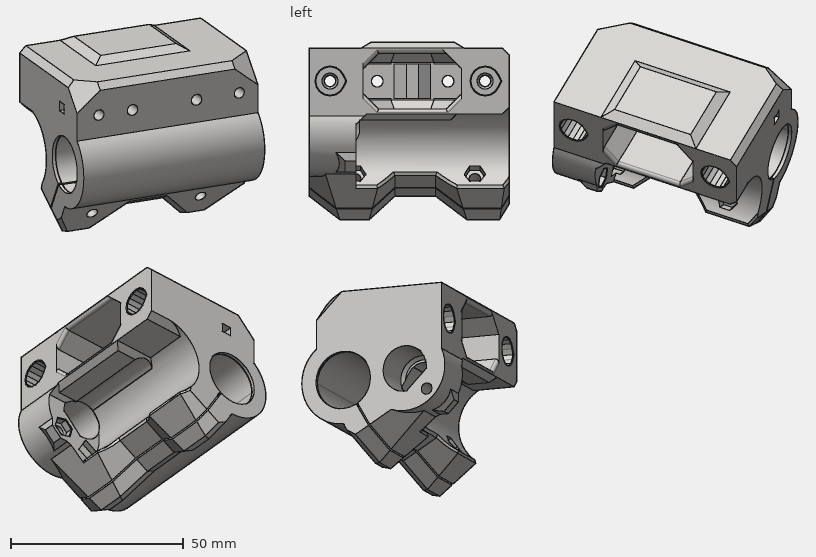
import cadquery as cq
import math

LENGTH = 58.0
HEX_SIDES = 6
REACH = 116.0

clamp_radius = 13.0
clamp_bore_diameter = 17.0
clamp_relief_diameter = 17.6
clamp_rim_length = 1.15
slit_width = 0.45

block_left = -30.75
block_right = 8.4
block_top = 26.4
edge_chamfer = 2.0
corner_run_along_y = 7.4
corner_drop = 6.05

pad_length_x = 24.35
pad_start_y = 12.95
pad_length_y = 30.15
pad_height = 1.75
pad_slope_angle = 30.0
pad_inset = pad_height / math.tan(math.radians(pad_slope_angle))

lug_x, lug_z = -19.25, 1.75
lug_radius = 12.5
lug_bore_diameter = 13.5
lug_front_y = 44.4
lug_mouth_chamfer = 1.05
lug_chord_distance = 5.15

recess_x, recess_z = -24.8, -2.85
recess_radius = 12.25
recess_ceiling_z = 7.35
recess_slope_height = 3.1

floor_bottom_z = 5.55
floor_start_y = 15.2
floor_end_x = -15.65
relief_radius = 5.0
floor_overlap = 0.6

pocket_y = 28.1
pocket_z = 16.8
pocket_width = 28.55
pocket_height = 16.1
pocket_corner = 4.45
pocket_lip = 1.05
pocket_depth = 24.35
pocket_wall_height = 9.85
pocket_band_height = 10.75
pocket_slope_depth = 2.9
pocket_band_flat = 12.5
pocket_roof_flat = 10.55
ridge_width = pocket_roof_flat
ridge_height = 3.55
pocket_hole_ys = (17.75, 38.3)

mount_z = 16.9
mount_ys = (7.0, 51.95)
mount_hole_diameter = 3.2
mount_seat_diameter = 4.65
mount_head_radius = 4.1
mount_tip = 4.6
mount_head_sides = 16
mount_head_depth = 18.55
mount_seat_depth = 2.3
window_x, window_width, window_height = -2.1, 3.2, 2.9

slit_angle = 60.0
slit_tilt = math.radians(slit_angle)
u_axis = cq.Vector(-math.cos(slit_tilt), 0, -math.sin(slit_tilt))
v_axis = cq.Vector(math.sin(slit_tilt), 0, -math.cos(slit_tilt))
y_axis = cq.Vector(0, 1, 0)
ear_half_width = 6.5
ear_tip_u, ear_tip_v = 24.1, 4.95
ear_side_u = 22.85
ear_heel_u, ear_heel_v = 20.25, -16.1
ear_root_u = 16.25
ear_front_u = 18.8
ear_limit_u = 26.85
front_ear_y = (4.25, 9.15)
back_ear_y = (43.15, 46.05)
gap_y = (21.35, 33.2)
flank_climb = 2.8
ear_lip_chamfer = 0.8

clamp_screw_u = 16.25
clamp_screw_ys = (10.0, 44.65)
clamp_nut_flats = 5.35
clamp_nut_v = (-12.6, -5.35)
screw_diameter = 3.3

lug_screw_x, lug_screw_z = -26.1, -4.9
lug_nut_corners = 6.25
lug_nut_depth = 2.3
lug_nut_turn = 15.0
mouth_chamfer = 0.25
foot_left, foot_bottom = -30.5, -9.5
foot_corner = 3.2
foot_back_y = 47.55
foot_base_y = 50.65
foot_taper = 2.05


def along_y(x, z, y=0.0):
    """Workplane with local axes X and -Z; extrusions run toward +Y."""
    return cq.Workplane(cq.Plane((x, y, z), (1, 0, 0), (0, 1, 0)))


def along_x(x, y, z):
    """Workplane with local axes Y and Z; extrusions run toward +X."""
    return cq.Workplane(cq.Plane((x, y, z), (0, 1, 0), (1, 0, 0)))


def rod_y(x, z, diameter, y_start, y_end):
    return along_y(x, z, y_start).circle(diameter / 2).extrude(y_end - y_start)


def across_ears():
    """Workplane with local axes v and u; extrusions run toward +Y."""
    return cq.Workplane(cq.Plane((0, 0, 0), v_axis, y_axis))


def square_to_slit(v):
    """Workplane with local axes Y and u; extrusions run toward -v."""
    return cq.Workplane(cq.Plane(v_axis * v, y_axis, v_axis * -1))


def corner_facet(y_end, inward):
    """Wedge that slants off one end of the block's top right edge."""
    lowest_point = (block_right, y_end, block_top - edge_chamfer - corner_drop)
    overshoot = 3
    across = overshoot * corner_drop / math.sqrt(2)
    along = overshoot * corner_run_along_y * inward
    section = cq.Workplane(cq.Plane(lowest_point, (1, 0, 1), (1, 0, -1)))
    return section.polyline([(0, 0), (across, -along), (across, 0)]).close().extrude(LENGTH, both=True)


def upper_block():
    block = cq.Workplane().box(block_right - block_left, LENGTH, block_top, centered=False)
    block = block.translate((block_left, 0, 0))
    block = block.edges("(>Z and >X) or (>Z and <Y)").chamfer(edge_chamfer)
    return block.cut(corner_facet(0, 1)).cut(corner_facet(LENGTH, -1))


def raised_pad():
    pad = cq.Workplane().rect(pad_length_x, pad_length_y).workplane(offset=pad_height)
    pad = pad.rect(pad_length_x - 2 * pad_inset, pad_length_y - 2 * pad_inset).loft(ruled=True)
    return pad.translate((block_left + pad_length_x / 2, pad_start_y + pad_length_y / 2, block_top))


def is_ear_lip(edge):
    """True for edges low on the ears that do not lie in an end plane of the recess."""
    middle = edge.Center()
    return middle.dot(u_axis) > ear_root_u - ear_lip_chamfer and 0 < round(middle.y, 3) < lug_front_y


def clamp_ears():
    outline = [(ear_half_width, 0), (ear_half_width, ear_side_u), (ear_tip_v, ear_tip_u),
               (ear_heel_v, ear_heel_u), (ear_heel_v, 0)]
    ears = across_ears().polyline(outline).close().extrude(LENGTH)
    flanks = [(0, 0), (0, ear_front_u), (front_ear_y[0], ear_limit_u), (front_ear_y[1], ear_limit_u),
              (gap_y[0], ear_root_u), (gap_y[1], ear_root_u), (back_ear_y[0], ear_limit_u),
              (back_ear_y[1], ear_limit_u), (LENGTH, ear_root_u), (LENGTH, 0)]
    raised = [(y, u - flank_climb) for y, u in flanks]
    straight = square_to_slit(ear_tip_v).polyline(flanks).close().extrude(REACH)
    climbing = square_to_slit(ear_half_width).polyline(raised).close()
    climbing = climbing.workplane(offset=ear_half_width - ear_tip_v).polyline(flanks).close()
    climbing = climbing.loft(ruled=True)
    ears = ears.intersect(straight.union(climbing)).cut(recess())
    lip = [edge for edge in ears.faces("%CYLINDER").edges().vals() if is_ear_lip(edge)]
    return ears.newObject(lip).chamfer(ear_lip_chamfer)


def lug():
    """Solid tube body, starting where the recess ceiling begins to slope down."""
    return rod_y(lug_x, lug_z, 2 * lug_radius, lug_front_y - recess_slope_height, LENGTH)


def lug_foot():
    outline = [(foot_left, lug_z), (foot_left, foot_bottom + foot_corner),
               (foot_left + foot_corner, foot_bottom), (lug_x, foot_bottom), (lug_x, lug_z)]
    corner = (foot_left, 0, foot_bottom + foot_corner)
    body = along_y(0, 0, lug_front_y).polyline([(x, -z) for x, z in outline]).close()
    body = body.extrude(foot_base_y - lug_front_y)
    section = cq.Workplane(cq.Plane(corner, (1, 0, 1), (1, 0, -1)))
    taper = section.polyline([(0, -foot_back_y), (foot_taper, -foot_base_y), (0, -foot_base_y)]).close()
    return body.cut(taper.extrude(LENGTH, both=True))


def recess():
    """Round trough open to the left, with a flat ceiling sloped down at both ends."""
    trough = along_y(recess_x, recess_z).circle(recess_radius).extrude(lug_front_y)
    side = along_y(recess_x, recess_z).rect(REACH, 2 * recess_radius).extrude(lug_front_y)
    left_only = cq.Workplane().box(REACH, REACH, REACH).translate((recess_x - REACH / 2, 0, 0))
    trough = trough.union(side.intersect(left_only))
    ceiling = [(0, -REACH), (0, recess_ceiling_z + edge_chamfer), (edge_chamfer, recess_ceiling_z),
               (lug_front_y - recess_slope_height, recess_ceiling_z),
               (lug_front_y, recess_ceiling_z - recess_slope_height), (lug_front_y, -REACH)]
    return trough.intersect(along_x(-REACH, 0, 0).polyline(ceiling).close().extrude(2 * REACH))


def pocket_floor():
    """Thick floor below the pocket, bevelled at the front and left, hollowed round the lug axis."""
    drop = recess_ceiling_z - floor_bottom_z
    end_y = lug_front_y - recess_slope_height + drop
    slab = cq.Workplane().box(floor_end_x - block_left, end_y - floor_start_y, drop + floor_overlap,
                              centered=False)
    slab = slab.translate((block_left, floor_start_y, floor_bottom_z))
    slab = slab.edges("(<Z and <X) or (<Z and <Y)").chamfer(drop)
    return slab.cut(rod_y(lug_x, lug_z, 2 * relief_radius, floor_start_y, end_y))


def octagon(width, height, corner):
    half_y, half_z = width / 2, height / 2
    return [(half_y, half_z - corner), (half_y - corner, half_z), (corner - half_y, half_z),
            (-half_y, half_z - corner), (-half_y, corner - half_z), (corner - half_y, -half_z),
            (half_y - corner, -half_z), (half_y, corner - half_z)]


def pocket_plan(depth, flat):
    """Plan outline of the pocket, its end narrowed by two sides at 45 degrees."""
    half = pocket_width / 2
    side_depth = depth - (half - flat / 2)
    return [(0, -half), (side_depth, -half), (depth, -flat / 2),
            (depth, flat / 2), (side_depth, half), (0, half)]


def pocket():
    mouth = octagon(pocket_width, pocket_height, pocket_corner)
    body = along_x(block_left, pocket_y, pocket_z).polyline(mouth).close().extrude(pocket_depth)
    band_plan = pocket_plan(pocket_depth, pocket_band_flat)
    roof_plan = pocket_plan(pocket_depth - pocket_slope_depth, pocket_roof_flat)
    slope_height = (pocket_height - pocket_band_height) / 2
    band = cq.Workplane(origin=(block_left, pocket_y, pocket_z)).polyline(band_plan).close()
    envelope = band.extrude(pocket_band_height / 2, both=True)
    for side in (-1, 1):
        slope = cq.Workplane(origin=(block_left, pocket_y, pocket_z + side * pocket_band_height / 2))
        slope = slope.polyline(band_plan).close().workplane(offset=side * slope_height)
        envelope = envelope.union(slope.polyline(roof_plan).close().loft(ruled=True))
    wall = along_x(block_left, pocket_y, pocket_z).rect(pocket_width, pocket_wall_height)
    wall = wall.extrude(pocket_depth)
    half_base, half_crest = ridge_width / 2, ridge_width / 2 - ridge_height
    ridge_base = (block_left + pocket_depth, pocket_y, pocket_z - pocket_wall_height / 2)
    ridge = cq.Workplane(origin=ridge_base)
    ridge = ridge.polyline([(0, -half_base), (-ridge_height, -half_crest), (-ridge_height, half_crest),
                            (0, half_base)]).close().extrude(pocket_wall_height)
    return body.intersect(envelope.union(wall)).cut(ridge)


def mouth_edges(y, z, width, height):
    """Selector for the edges of an opening in the left face of the block."""
    margin = 0.05
    half_y, half_z = width / 2 + margin, height / 2 + margin
    return cq.selectors.BoxSelector((block_left - margin, y - half_y, z - half_z),
                                    (block_left + margin, y + half_y, z + half_z))


def pocket_holes():
    start = along_x(block_left, 0, pocket_z).pushPoints([(y, 0) for y in pocket_hole_ys])
    return start.circle(screw_diameter / 2).extrude(REACH)


def mount_head_outline():
    """Many-sided round outline with a blunt tip toward the front."""
    step = 2 * math.pi / mount_head_sides
    points = [(-mount_tip, 0)]
    for side in range(1, mount_head_sides):
        angle = side * step
        points.append((-mount_head_radius * math.cos(angle), mount_head_radius * math.sin(angle)))
    return points


def mount_hole(y):
    """Screw hole with a conical seat at the bottom of its head bore."""
    hole = along_x(block_left, y, mount_z).circle(mount_hole_diameter / 2).extrude(REACH)
    head = along_x(block_left, y, mount_z).polyline(mount_head_outline()).close().extrude(mount_head_depth)
    seat = along_x(block_left + mount_head_depth, y, mount_z).circle(mount_seat_diameter / 2)
    seat = seat.workplane(offset=mount_seat_depth).circle(mount_hole_diameter / 2).loft()
    return hole.union(head).union(seat)


def window():
    return along_y(window_x, mount_z).rect(window_width, window_height).extrude(mount_ys[0])


def lug_bore():
    """Lug bore flattened by a slanting wall that leaves room for the lug screw."""
    bore = rod_y(lug_x, lug_z, lug_bore_diameter, lug_front_y, LENGTH)
    throat_y = lug_front_y - recess_slope_height
    throat_radius = lug_bore_diameter / 2 - lug_mouth_chamfer
    cone = along_y(lug_x, lug_z, lug_front_y - lug_mouth_chamfer).circle(throat_radius)
    cone = cone.workplane(offset=lug_mouth_chamfer).circle(lug_bore_diameter / 2).loft()
    bore = bore.union(cone).union(rod_y(lug_x, lug_z, 2 * relief_radius, throat_y, lug_front_y))
    section = cq.Workplane(cq.Plane((lug_x, 0, lug_z), (1, 0, 1), (0, 1, 0)))
    keep = section.center(REACH / 2 - lug_chord_distance, 0).rect(REACH, REACH)
    return bore.intersect(keep.extrude(LENGTH))


def lug_screw():
    hole = rod_y(lug_screw_x, lug_screw_z, screw_diameter, lug_front_y, LENGTH)
    nut = along_y(0, 0, lug_front_y).polygon(HEX_SIDES, lug_nut_corners).extrude(lug_nut_depth)
    mouth = along_y(0, 0, lug_front_y).polygon(HEX_SIDES, lug_nut_corners + 2 * mouth_chamfer)
    mouth = mouth.workplane(offset=mouth_chamfer).polygon(HEX_SIDES, lug_nut_corners).loft(ruled=True)
    nut = nut.union(mouth).rotate((0, 0, 0), (0, 1, 0), -lug_nut_turn)
    return hole.union(nut.translate((lug_screw_x, 0, lug_screw_z)))


def clamp_screw(y):
    nut_corners = clamp_nut_flats / math.cos(math.pi / HEX_SIDES)
    hole = square_to_slit(REACH).center(y, clamp_screw_u).circle(screw_diameter / 2)
    hole = hole.extrude(REACH - clamp_nut_v[0])
    nut = square_to_slit(clamp_nut_v[1]).center(y, clamp_screw_u).polygon(HEX_SIDES, nut_corners)
    return hole.union(nut.extrude(clamp_nut_v[1] - clamp_nut_v[0]))


def clamp_bore():
    """Main bore, slightly wider between the rims at its two ends."""
    bore = rod_y(0, 0, clamp_bore_diameter, 0, LENGTH)
    return bore.union(rod_y(0, 0, clamp_relief_diameter, clamp_rim_length, LENGTH - clamp_rim_length))


def slit():
    return across_ears().center(0, REACH / 2).rect(slit_width, REACH).extrude(LENGTH)


result = upper_block().union(raised_pad())
result = result.union(rod_y(0, 0, 2 * clamp_radius, 0, LENGTH))
result = result.union(clamp_ears()).union(lug()).union(lug_foot())
result = result.cut(recess()).union(pocket_floor())
result = result.cut(lug_bore()).cut(lug_screw())

result = result.cut(pocket())
pocket_mouth = mouth_edges(pocket_y, pocket_z, pocket_width, pocket_height)
pocket_lip_edges = result.edges(pocket_mouth).edges("not |Z").edges("not (>(0, -1, 1))")
result = pocket_lip_edges.fillet(pocket_lip)
result = result.cut(pocket_holes()).cut(window())

for mount_y in mount_ys:
    result = result.cut(mount_hole(mount_y))
    mount_mouth = mouth_edges(mount_y, mount_z, 2 * mount_tip, 2 * mount_tip)
    result = result.edges(mount_mouth).chamfer(mouth_chamfer)

result = result.cut(clamp_bore()).cut(slit())
for clamp_y in clamp_screw_ys:
    result = result.cut(clamp_screw(clamp_y))